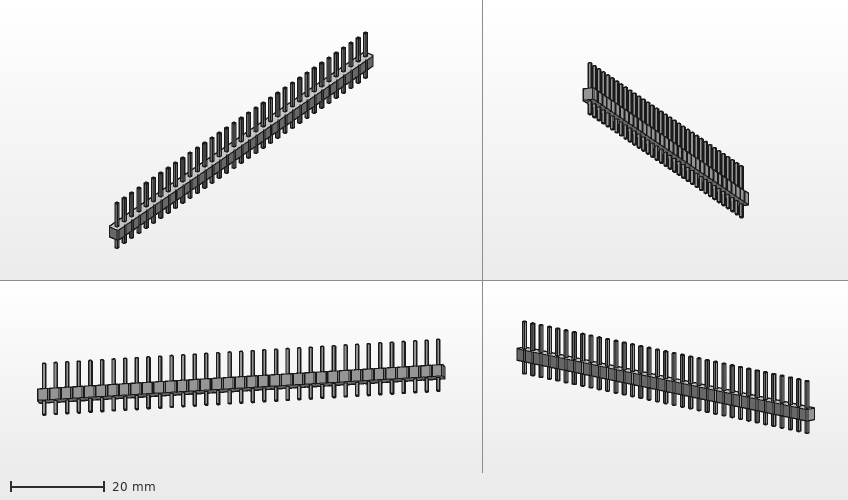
import cadquery as cq

row_length = 88.9
pin_count = 35
pitch = row_length / pin_count

body_width = pitch
body_height = pitch
corner_bevel = pitch / 10

pin_width = 0.64
pin_length = 11.6
pin_below_body = 3.0
tip_bevel = pin_width / 4


def make_segment():
    """One housing block with bevelled vertical corners."""
    block = cq.Workplane("XY").box(body_width, pitch, body_height, centered=(True, True, False))
    return block.edges("|Z").chamfer(corner_bevel)


def make_pin():
    """A square pin with a four-sided taper at both ends."""
    blank = (
        cq.Workplane("XY")
        .workplane(offset=-pin_below_body)
        .box(pin_width, pin_width, pin_length, centered=(True, True, False))
    )
    return blank.faces("<Z or >Z").chamfer(tip_bevel)


single_position = make_segment().union(make_pin()).val()
result = (
    cq.Workplane("XY")
    .rarray(pitch, pitch, 1, pin_count)
    .eachpoint(lambda place: single_position.moved(place))
    .combine()
)